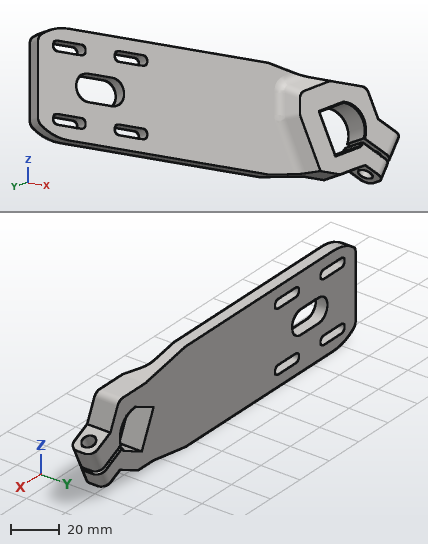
import cadquery as cq
import math


plate_thickness = 6.0
plate_half_height = 23.6
plate_left = -31.3
end_arc_x = -16.0
end_corner_radius = 4.0

main_slot_length = 24.0
main_slot_width = 12.0
small_slot_length = 16.4
small_slot_width = 4.5
small_slot_spacing = 31.0

head_thickness = 12.0
bore_x = 118.9
bore_z = 0.2
tilt = math.radians(25)
bore_radius = 10.2
bore_flat_distance = 9.5
bore_rim_chamfer = 0.4
head_wall_distance = 17.6
head_top = 18.6
head_bottom = -20.2
head_corner_radius = 4.0
taper_start_x = 84.6
taper_top_end_x = 111.8
taper_bottom_end_x = 106.5
taper_corner_radius = 3.0

arm_length = 26.27
arm_top_distance = 12.3
arm_bottom_distance = 9.0
arm_end_radius = 4.0
slit_width = 2.0
screw_diameter = 6.3
screw_distance = 20.2

rim_distance = 19.8
rim_left_distance = 22.7
step_slope = 45.0
step_edge_radius = 6.0
step_root_radius = 6.0

plateau_reach = 60.0
slab_size = 400.0


def clamp_point(along, across, angle):
    """Point measured from the bore centre in axes turned by angle."""
    x = bore_x + along * math.cos(angle) - across * math.sin(angle)
    z = bore_z + along * math.sin(angle) + across * math.cos(angle)
    return (x, z)


def bore_axes(along, across):
    """Axes of the square bore, rising to the right."""
    return clamp_point(along, across, tilt)


def arm_axes(along, across):
    """Axes of the arms, falling to the right."""
    return clamp_point(along, across, -tilt)


def on_right_wall(z):
    """Point of the right head wall at height z."""
    x = bore_x + (head_wall_distance - (z - bore_z) * math.sin(tilt)) / math.cos(tilt)
    return (x, z)


def on_lower_wall(z):
    """Point of the lower head wall at height z."""
    x = bore_x + (head_wall_distance + (z - bore_z) * math.cos(tilt)) / math.sin(tilt)
    return (x, z)


def upper_arm_corner():
    """Where the right head wall meets the top of the upper arm."""
    along = (head_wall_distance - arm_top_distance * math.sin(2 * tilt)) / math.cos(2 * tilt)
    return arm_axes(along, arm_top_distance)


def lower_arm_corner():
    """Where the lower head wall meets the underside of the lower arm."""
    along = (head_wall_distance - arm_bottom_distance * math.cos(2 * tilt)) / math.sin(2 * tilt)
    return arm_axes(along, -arm_bottom_distance)


def nearest_to(point):
    """Selector for the item nearest an XZ point at mid-thickness of the head."""
    x, z = point
    return cq.selectors.NearestToPointSelector((x, -head_thickness / 2, z))


def outline_prism():
    """Whole outline at full head thickness, with the arm ends rounded."""
    end_half_height = math.sqrt(plate_half_height**2 - (plate_left - end_arc_x) ** 2)
    mid_angle = (math.pi / 2 + math.acos((plate_left - end_arc_x) / plate_half_height)) / 2
    mid_x = end_arc_x + plate_half_height * math.cos(mid_angle)
    mid_z = plate_half_height * math.sin(mid_angle)
    prism = (
        cq.Workplane("XZ")
        .moveTo(plate_left, end_half_height)
        .threePointArc((mid_x, mid_z), (end_arc_x, plate_half_height))
        .lineTo(taper_start_x, plate_half_height)
        .lineTo(taper_top_end_x, head_top)
        .lineTo(*on_right_wall(head_top))
        .lineTo(*upper_arm_corner())
        .lineTo(*arm_axes(arm_length, arm_top_distance))
        .lineTo(*arm_axes(arm_length, -arm_bottom_distance))
        .lineTo(*lower_arm_corner())
        .lineTo(*on_lower_wall(head_bottom))
        .lineTo(taper_bottom_end_x, head_bottom)
        .lineTo(taper_start_x, -plate_half_height)
        .lineTo(end_arc_x, -plate_half_height)
        .threePointArc((mid_x, -mid_z), (plate_left, -end_half_height))
        .close()
        .extrude(head_thickness)
    )
    prism = prism.edges("|Y").edges(nearest_to(on_right_wall(head_top))).fillet(head_corner_radius)
    taper_corners = [
        (taper_start_x, plate_half_height),
        (taper_top_end_x, head_top),
        (taper_bottom_end_x, head_bottom),
        (taper_start_x, -plate_half_height),
    ]
    for corner in taper_corners:
        prism = prism.edges("|Y").edges(nearest_to(corner)).fillet(taper_corner_radius)
    prism = prism.faces("<X").edges("|Y").fillet(end_corner_radius)
    arm_end = nearest_to(arm_axes(arm_length, 0))
    return prism.faces(arm_end).edges("not |Y").fillet(arm_end_radius)


def stepped_slab():
    """Oversized slab with a sloping, blended plateau; the outline trims it to the part."""
    rise = head_thickness - plate_thickness
    spread = rise / math.tan(math.radians(step_slope))
    left = rim_left_distance + spread
    side = rim_distance + spread
    upper_corner = (bore_x - left, bore_z + (side - left * math.sin(tilt)) / math.cos(tilt))
    lower_corner = (bore_x - left, bore_z + (left * math.cos(tilt) - side) / math.sin(tilt))
    plateau = (
        cq.Workplane("XZ", origin=(0, -plate_thickness, 0))
        .polyline([
            bore_axes(plateau_reach, side),
            upper_corner,
            lower_corner,
            bore_axes(-side, -plateau_reach),
            bore_axes(plateau_reach, -plateau_reach),
        ])
        .close()
        .extrude(rise, taper=90 - step_slope)
        .edges("not #Y")
        .fillet(step_edge_radius)
    )
    slab = (
        cq.Workplane("XZ")
        .center(bore_x, bore_z)
        .rect(slab_size, slab_size)
        .extrude(plate_thickness)
    )
    stepped = slab.union(plateau)
    root_edges = stepped.faces("<Y[-2]").val().innerWires()[0].Edges()
    return stepped.newObject(root_edges).fillet(step_root_radius)


def slot(length, width, x, z):
    return cq.Workplane("XZ").center(x, z).slot2D(length, width).extrude(plate_thickness)


def bore_outline(depth, growth):
    """Square on the left, running into a round end that is slightly wider than the square.

    The outline lies at a depth in front of the back face and is offset outwards by growth.
    """
    flat = bore_flat_distance + growth
    radius = bore_radius + growth
    meet = math.sqrt(radius**2 - flat**2)
    return (
        cq.Workplane("XZ", origin=(0, -depth, 0))
        .moveTo(*bore_axes(meet, flat))
        .lineTo(*bore_axes(-flat, flat))
        .lineTo(*bore_axes(-flat, -flat))
        .lineTo(*bore_axes(meet, -flat))
        .threePointArc(bore_axes(radius, 0), bore_axes(meet, flat))
        .close()
    )


def bore():
    """Through bore, flared at the front to chamfer its rim."""
    chamfer_start = head_thickness - bore_rim_chamfer
    rim_wires = [
        bore_outline(chamfer_start, 0).val(),
        bore_outline(head_thickness, bore_rim_chamfer).val(),
    ]
    flare = cq.Solid.makeLoft(rim_wires, True)
    return bore_outline(0, 0).extrude(head_thickness).union(cq.Workplane(flare))


def slit():
    """Gap between the two arms, from the bore out past their ends."""
    half_width = slit_width / 2
    slit_end = 2 * arm_length
    corners = [
        arm_axes(0, -half_width),
        arm_axes(slit_end, -half_width),
        arm_axes(slit_end, half_width),
        arm_axes(0, half_width),
    ]
    return cq.Workplane("XZ").polyline(corners).close().extrude(head_thickness)


def screw_hole():
    """Hole through both arms, square to the slit and at mid-thickness."""
    x, z = arm_axes(screw_distance, -arm_length)
    start = cq.Vector(x, -head_thickness / 2, z)
    direction = cq.Vector(math.sin(tilt), 0, math.cos(tilt))
    return cq.Workplane(cq.Solid.makeCylinder(screw_diameter / 2, 2 * arm_length, start, direction))


result = outline_prism().intersect(stepped_slab())
result = result.cut(slot(main_slot_length, main_slot_width, 0, 0))
for side_x in (-1, 1):
    for side_z in (-1, 1):
        slot_x = side_x * small_slot_spacing / 2
        slot_z = side_z * small_slot_spacing / 2
        result = result.cut(slot(small_slot_length, small_slot_width, slot_x, slot_z))
result = result.cut(bore()).cut(slit()).cut(screw_hole())